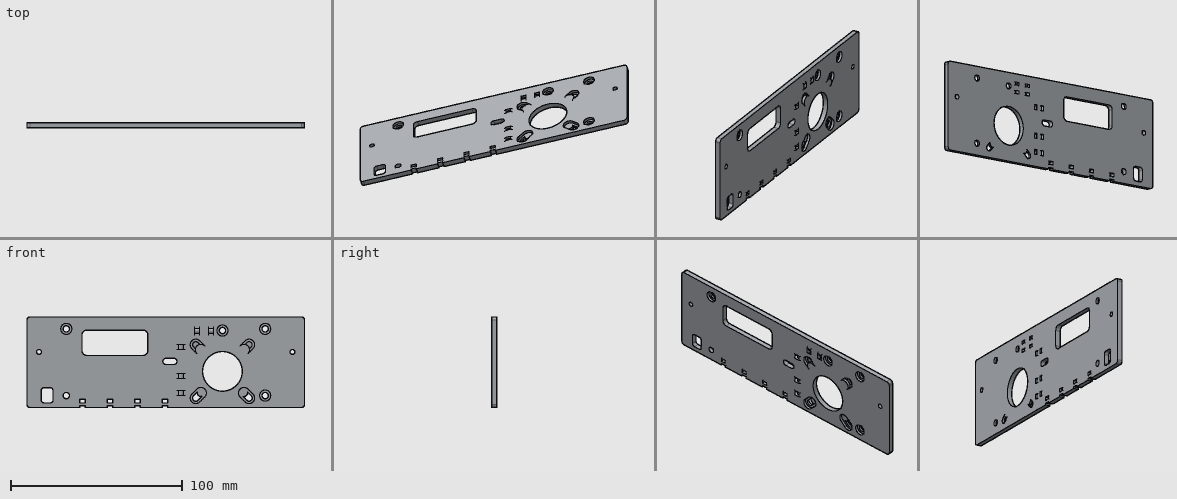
import cadquery as cq
import math

LENGTH = 162.0
THICKNESS = 3.0
HEIGHT = 53.0
CORNER_RADIUS = 2.0
FRONT = -THICKNESS / 2

SCREW_DIAMETER = 3.5
HEAD_DIAMETER = 6.5
HEAD_DEPTH = 1.6
SCREW_X = 58.0
SCREW_Z = 19.5
TOP_SCREW_Z = 18.5
SIDE_HOLE_DIAMETER = 2.8
SIDE_HOLE_X = 73.9
SIDE_HOLE_Z = 6.0

MOTOR_X = 33.0
MOTOR_Z = -5.3
BORE_DIAMETER = 23.0
SLOT_REACH = 15.5
SLOT_ANGLE = 45
SLOT_TRAVEL = 4.2
SLOT_SHIFT = SLOT_TRAVEL / math.sqrt(2)
LOWER_PLUG_DIAMETER = 4.2
UPPER_SLOT_DEPTH = 1.8

LARGE_WINDOW = (38.2, 14.5, -29.6, 11.3, 2.6)
SMALL_WINDOW = (6.8, 8.7, -69.2, -19.3, 1.6)
CABLE_SLOT_WIDTH = 3.5
CABLE_SLOT_LENGTH = 8.1
CABLE_SLOT_X = 2.5
CABLE_SLOT_Z = 0.5

TIE_COUNT = 4
TIE_PITCH = 16.0
TIE_FIRST_X = -48.6
TIE_WIDTH = 3.0
TIE_HOLE_HEIGHT = 2.0
TIE_HOLE_Z = -22.7
NOTCH_DEPTH = 1.0

LOOP_OUTER_DIAMETER = 6.8
LOOP_INNER_DIAMETER = 3.4
LOOP_WIDTH = 2.9
SIDE_LOOP_X = 8.9
SIDE_LOOP_Z = (8.9, -8.1, -17.8)
TOP_LOOP_X = (18.1, 26.4)
TOP_LOOP_Z = 18.1


def front_plane(x, z, depth=0.0):
    """Workplane at a depth below the front face; local x is +X, local y is +Z."""
    return cq.Workplane("XZ", origin=(x, FRONT + depth, z))


def disc(x, z, diameter, start=0.0, end=THICKNESS):
    return front_plane(x, z, start).circle(diameter / 2).extrude(start - end)


def block(x, z, width, height):
    return front_plane(x, z).rect(width, height).extrude(-THICKNESS)


def slot(x, z, length, diameter, angle=0.0, end=THICKNESS):
    return front_plane(x, z).slot2D(length, diameter, angle).extrude(-end)


def window(width, height, x, z, radius):
    return block(x, z, width, height).edges("|Y").fillet(radius)


def screw_hole(x, z):
    return disc(x, z, SCREW_DIAMETER).union(disc(x, z, HEAD_DIAMETER, end=HEAD_DEPTH))


def motor_slot(side, level):
    """Stepped diagonal slot, partly filled by a round plug at its inner end."""
    inner = SLOT_REACH - SLOT_SHIFT
    middle = SLOT_REACH - SLOT_SHIFT / 2
    x = MOTOR_X + side * middle
    z = MOTOR_Z + level * middle
    angle = SLOT_ANGLE * side * level
    upper = level > 0
    narrow_end = UPPER_SLOT_DEPTH if upper else THICKNESS
    wide = slot(x, z, SLOT_TRAVEL + HEAD_DIAMETER, HEAD_DIAMETER, angle, HEAD_DEPTH)
    narrow = slot(x, z, SLOT_TRAVEL + SCREW_DIAMETER, SCREW_DIAMETER, angle, narrow_end)
    inner_x = MOTOR_X + side * inner
    inner_z = MOTOR_Z + level * inner
    if upper:
        plug = disc(inner_x, inner_z, HEAD_DIAMETER)
    else:
        plug = disc(inner_x, inner_z, LOWER_PLUG_DIAMETER, start=HEAD_DEPTH)
    return wide.union(narrow).cut(plug)


def tie_loop(x, z, axis_plane):
    """Ring-shaped tie channel about an axis on the rear face, open to the front and the rear."""
    axis = cq.Workplane(axis_plane, origin=(x, FRONT + THICKNESS, z)).workplane(offset=-LOOP_WIDTH / 2)
    ring = axis.circle(LOOP_OUTER_DIAMETER / 2).circle(LOOP_INNER_DIAMETER / 2)
    return ring.extrude(LOOP_WIDTH)


result = block(0, 0, LENGTH, HEIGHT).edges("|Y").fillet(CORNER_RADIUS)

for x, z in ((-SCREW_X, SCREW_Z), (SCREW_X, SCREW_Z), (SCREW_X, -SCREW_Z), (MOTOR_X, TOP_SCREW_Z)):
    result = result.cut(screw_hole(x, z))
result = result.cut(disc(-SCREW_X, -SCREW_Z, SCREW_DIAMETER))
for side in (-1, 1):
    result = result.cut(disc(side * SIDE_HOLE_X, SIDE_HOLE_Z, SIDE_HOLE_DIAMETER))

result = result.cut(disc(MOTOR_X, MOTOR_Z, BORE_DIAMETER))
for side in (-1, 1):
    for level in (-1, 1):
        result = result.cut(motor_slot(side, level))

result = result.cut(window(*LARGE_WINDOW))
result = result.cut(window(*SMALL_WINDOW))
result = result.cut(slot(CABLE_SLOT_X, CABLE_SLOT_Z, CABLE_SLOT_LENGTH, CABLE_SLOT_WIDTH))

for index in range(TIE_COUNT):
    tie_x = TIE_FIRST_X + index * TIE_PITCH
    result = result.cut(block(tie_x, TIE_HOLE_Z, TIE_WIDTH, TIE_HOLE_HEIGHT))
    result = result.cut(block(tie_x, -HEIGHT / 2, TIE_WIDTH, 2 * NOTCH_DEPTH))

for z in SIDE_LOOP_Z:
    result = result.cut(tie_loop(SIDE_LOOP_X, z, "XY"))
for x in TOP_LOOP_X:
    result = result.cut(tie_loop(x, TOP_LOOP_Z, "YZ"))